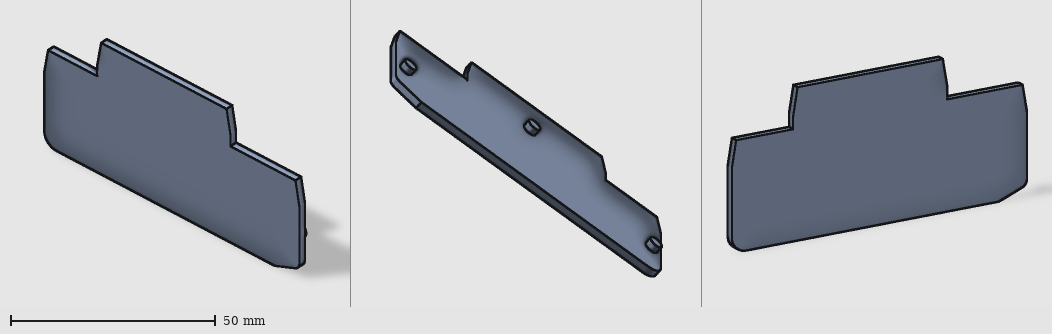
import cadquery as cq

length = 83.7
height = 39.7
thickness = 2.1

shoulder_height = 29.05
raised_left = 17.4
raised_right = 61.1

taper_width = 1.25
taper_height = 7.2

left_corner_radius = 4.1
bevel_width = 8.0
bevel_height = 3.0
right_corner_radius = 2.2

pin_diameter = 3.6
pin_length = 1.9
pin_inset = 3.1
low_pin_height = 11.0
middle_pin_x = 41.5
middle_pin_height = 26.3
pin_centers = [
    (pin_inset, low_pin_height),
    (middle_pin_x, middle_pin_height),
    (length - pin_inset, low_pin_height),
]


def extrude_back(sketch, depth):
    """Extrude an XZ sketch toward +Y."""
    return sketch.extrude(-depth)


def make_plate():
    """Stepped plate with tapered shoulders and eased bottom corners."""
    outline = [
        (0, 0),
        (length - bevel_width, 0),
        (length, bevel_height),
        (length, shoulder_height - taper_height),
        (length - taper_width, shoulder_height),
        (raised_right, shoulder_height),
        (raised_right, height - taper_height),
        (raised_right - taper_width, height),
        (raised_left + taper_width, height),
        (raised_left, height - taper_height),
        (raised_left, shoulder_height),
        (taper_width, shoulder_height),
        (0, shoulder_height - taper_height),
    ]
    plate = extrude_back(cq.Workplane("XZ").polyline(outline).close(), thickness)

    def corner_edge(x, z):
        return cq.selectors.NearestToPointSelector((x, thickness / 2, z))

    plate = plate.edges(corner_edge(0, 0)).fillet(left_corner_radius)
    return plate.edges(corner_edge(length, bevel_height)).fillet(right_corner_radius)


def make_pins():
    """Pins rooted at the front face, so that they overlap the plate."""
    pins = cq.Workplane("XZ").pushPoints(pin_centers).circle(pin_diameter / 2)
    return extrude_back(pins, thickness + pin_length)


result = make_plate().union(make_pins())